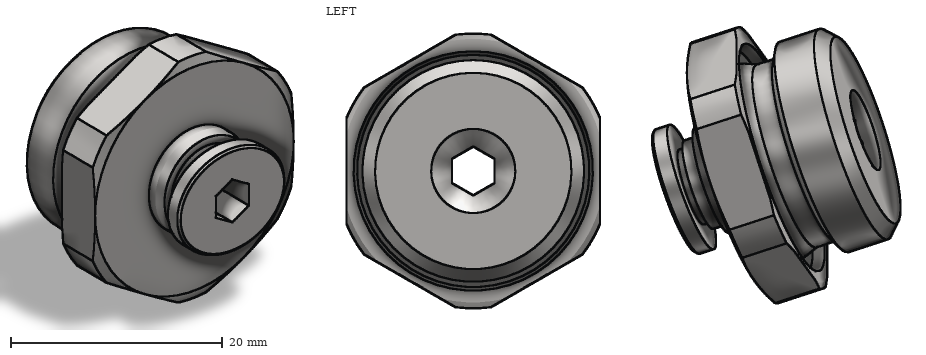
import cadquery as cq
import math

thread_end = 5.2
undercut_start = 5.98
undercut_end = 7.98
hex_start = 8.48
hex_end = 13.5
collar_taper_start = 14.5
collar_end = 15.52
sleeve_end = 16.85
ring_start = 17.6
total_length = 19.25

thread_radius = 10.48
thread_chamfer = 1.2
undercut_radius = 9.1
undercut_flare_angle = 20.0

recess_radius = 11.3
recess_floor_radius = 10.97
recess_depth = 1.1

hex_across_flats = 24.0
hex_corner_radius = 13.0
front_chamfer_length = 0.15
front_chamfer_radius = 12.45
rear_chamfer_length = 0.36
rear_chamfer_radius = hex_across_flats / 2

collar_radius = 5.5
collar_taper_angle = 15.0
sleeve_radius = 4.42
ring_neck_radius = 3.75
ring_half_width_y = 6.47
ring_half_height_z = 5.5
ring_chamfer = 0.23

socket_across_flats = 3.98
countersink_radius = 3.98
drill_point_angle = 118.0


def rise(length, angle):
    """Change of radius over an axial length at an angle to the axis."""
    return length * math.tan(math.radians(angle))


def revolve_about_x(points):
    """Revolve a closed (x, radius) outline about the X axis."""
    return cq.Workplane("XZ").polyline(points).close().revolve(360, (0, 0, 0), (1, 0, 0))


def hex_prism(across_flats, start, end):
    """Hexagonal prism along X with two flats facing +Y and -Y."""
    across_corners = across_flats / math.cos(math.radians(30))
    return (
        cq.Workplane("YZ", origin=(start, 0, 0))
        .transformed(rotate=(0, 0, 90))
        .polygon(6, across_corners)
        .extrude(end - start)
    )


recess_floor = hex_start + recess_depth
flare_floor_radius = undercut_radius + rise(recess_floor - undercut_end, undercut_flare_angle)
flare_face_radius = undercut_radius + rise(hex_start - undercut_end, undercut_flare_angle)


def make_stud():
    """Chamfered thread body, undercut and the flare down to the recess floor."""
    return revolve_about_x([
        (0, 0),
        (0, thread_radius - thread_chamfer),
        (thread_chamfer, thread_radius),
        (thread_end, thread_radius),
        (undercut_start, undercut_radius),
        (undercut_end, undercut_radius),
        (recess_floor, flare_floor_radius),
        (recess_floor, 0),
    ])


def make_hex():
    """Hexagon with turned corners, chamfered ends and the seal recess."""
    turned_blank = revolve_about_x([
        (hex_start, 0),
        (hex_start, front_chamfer_radius),
        (hex_start + front_chamfer_length, hex_corner_radius),
        (hex_end - rear_chamfer_length, hex_corner_radius),
        (hex_end, rear_chamfer_radius),
        (hex_end, 0),
    ])
    seal_recess = revolve_about_x([
        (hex_start, flare_face_radius),
        (hex_start, recess_radius),
        (recess_floor, recess_floor_radius),
        (recess_floor, flare_floor_radius),
    ])
    return turned_blank.intersect(hex_prism(hex_across_flats, hex_start, hex_end)).cut(seal_recess)


def make_tube_side():
    """Tapered collar, sleeve and the neck of the release ring."""
    collar_end_radius = collar_radius - rise(collar_end - collar_taper_start, collar_taper_angle)
    return revolve_about_x([
        (hex_end, 0),
        (hex_end, collar_radius),
        (collar_taper_start, collar_radius),
        (collar_end, collar_end_radius),
        (collar_end, sleeve_radius),
        (sleeve_end, sleeve_radius),
        (sleeve_end, ring_neck_radius),
        (ring_start, ring_neck_radius),
        (ring_start, 0),
    ])


def make_release_ring():
    """Elliptical release ring with a chamfered outer edge."""
    return (
        cq.Workplane("YZ", origin=(ring_start, 0, 0))
        .ellipse(ring_half_width_y, ring_half_height_z)
        .extrude(total_length - ring_start)
        .faces(">X")
        .chamfer(ring_chamfer)
    )


def make_socket():
    """Through hexagon socket together with its conical lead-in."""
    cone_depth = countersink_radius / math.tan(math.radians(drill_point_angle / 2))
    countersink = revolve_about_x([(0, 0), (0, countersink_radius), (cone_depth, 0)])
    return hex_prism(socket_across_flats, 0, total_length).union(countersink)


result = (
    make_stud()
    .union(make_hex())
    .union(make_tube_side())
    .union(make_release_ring())
    .cut(make_socket())
)